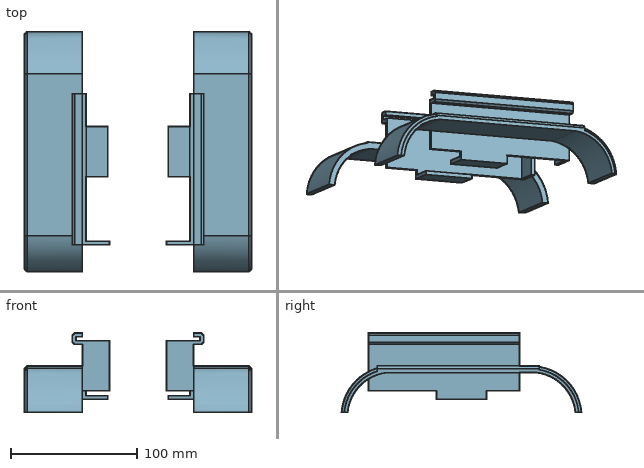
import cadquery as cq
import math

overall_width = 180.0
overall_length = 190.2
fender_inner_x = 44.1
fender_outer_x = overall_width / 2
edge_chamfer = 2.3
deck_top = 36.9
deck_thickness = 5.3
deck_front_y = -66.7
deck_back_y = 61.6
apron_radius = 40.0
apron_thickness = 5.0
apron_axis_z = -3.2

sheet = 3.0
bracket_top = 63.0
bracket_front_y = -73.8
bracket_length = 119.8
web_bottom = 17.1
lip_reach = 8.0
lip_chamfer = 1.9
flange_inner_x = 22.5
tab_length = 40.0
tab_bottom = 10.3
tab_inner_x = 23.8

lip_height = 3 * sheet
web_top = bracket_top - 2 * sheet
web_inner_x = fender_inner_x - sheet
lip_outer_x = fender_inner_x + lip_reach
apron_axis_y = overall_length / 2 - math.sqrt(apron_radius**2 - apron_axis_z**2)


def box(x_range, y_range, z_range):
    """Box between the given limits on each axis."""
    size = [high - low for low, high in (x_range, y_range, z_range)]
    corner = (x_range[0], y_range[0], z_range[0])
    return cq.Workplane("XY").box(*size, centered=False).translate(corner)


def strip_section(plane, top, thickness):
    """Fender cross-section in X and Z, chamfered along its outer top edge."""
    return plane.polyline([
        (fender_inner_x, top - thickness),
        (fender_outer_x, top - thickness),
        (fender_outer_x, top - edge_chamfer),
        (fender_outer_x - edge_chamfer, top),
        (fender_inner_x, top),
    ]).close()


def make_deck():
    plane = cq.Workplane("XZ", origin=(0, deck_back_y, 0))
    return strip_section(plane, deck_top, deck_thickness).extrude(deck_back_y - deck_front_y)


def make_apron(side):
    """Curved end from its crown down to Z = 0; side is the sign of its Y."""
    ring = strip_section(cq.Workplane("XZ"), apron_radius, apron_thickness)
    ring = ring.revolve(360, (0, 0, 0), (1, 0, 0))
    ring = ring.translate((0, side * apron_axis_y, apron_axis_z))
    y_range = sorted((side * apron_axis_y, side * overall_length / 2))
    return ring.intersect(box((fender_inner_x, fender_outer_x), y_range, (0, deck_top)))


def make_bracket():
    bracket_back_y = bracket_front_y + bracket_length
    lip_bottom = bracket_top - lip_height
    bracket = cq.Workplane("XZ", origin=(0, bracket_back_y, 0)).polyline([
        (web_inner_x, web_bottom),
        (fender_inner_x, web_bottom),
        (fender_inner_x, lip_bottom),
        (lip_outer_x - lip_chamfer, lip_bottom),
        (lip_outer_x, lip_bottom + lip_chamfer),
        (lip_outer_x, bracket_top - lip_chamfer),
        (lip_outer_x - lip_chamfer, bracket_top),
        (fender_inner_x, bracket_top),
        (fender_inner_x, bracket_top - sheet),
        (lip_outer_x - sheet, bracket_top - sheet),
        (lip_outer_x - sheet, web_top),
        (web_inner_x, web_top),
    ]).close().extrude(bracket_length)

    flange_y = (bracket_front_y, bracket_front_y + sheet)
    flange = box((flange_inner_x, fender_inner_x), flange_y, (web_bottom, web_top))

    tab_y = (-tab_length / 2, tab_length / 2)
    tab_wall = box((web_inner_x, fender_inner_x), tab_y, (tab_bottom, web_bottom))
    tab_foot = box((tab_inner_x, fender_inner_x), tab_y, (tab_bottom, tab_bottom + sheet))
    return bracket.union(flange).union(tab_wall).union(tab_foot)


def make_fender_unit():
    """Fender with its bracket, on the +X side."""
    unit = make_deck()
    for side in (-1, 1):
        unit = unit.union(make_apron(side))
    return unit.union(make_bracket())


right_unit = make_fender_unit()
left_unit = right_unit.mirror("YZ")
result = cq.Compound.makeCompound([right_unit.solids().val(), left_unit.solids().val()])